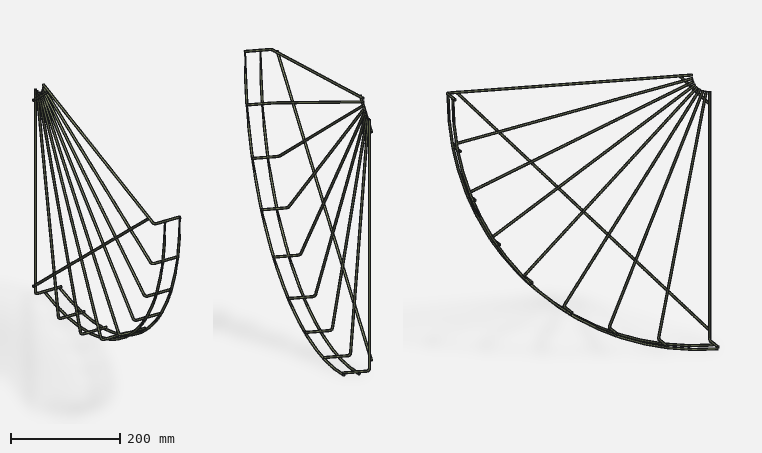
import cadquery as cq
import math

overall_size = 510.5
overall_depth = 58.0
wire_diameter = 4.0
wire_radius = wire_diameter / 2
weld_overlap = 0.25

spoke_count = 9
fan_angle = 90.0
hub_x = wire_radius
hub_z = overall_size - wire_radius
spoke_start_radius = 33.5
bend_radius = 5.0

brace_y = wire_radius
spoke_y = brace_y + wire_diameter - weld_overlap
rim_spacing = 30.0
back_rim_y = overall_depth - wire_radius
middle_rim_y = back_rim_y - rim_spacing

rim_radius = overall_size - wire_diameter
upright_radius = rim_radius - wire_diameter + weld_overlap

brace_reaches = (57.0, 483.5)


def spoke(angle):
    """Wire running out from the hub and bent backwards at the rim."""
    bend_start = upright_radius - bend_radius
    bend_end_y = spoke_y + bend_radius
    bend_middle = (
        bend_start + bend_radius * math.sin(math.radians(45)),
        bend_end_y - bend_radius * math.cos(math.radians(45)),
    )
    path = (
        cq.Workplane("XY")
        .moveTo(spoke_start_radius, spoke_y)
        .lineTo(bend_start, spoke_y)
        .threePointArc(bend_middle, (upright_radius, bend_end_y))
        .lineTo(upright_radius, overall_depth)
    )
    wire = (
        cq.Workplane("YZ", origin=(spoke_start_radius, spoke_y, 0))
        .circle(wire_radius)
        .sweep(path)
    )
    return wire.rotate((0, 0, 0), (0, 1, 0), angle).translate((hub_x, 0, hub_z))


def rim(y):
    """Quarter ring joining the outer sides of the uprights."""
    return (
        cq.Workplane("XY")
        .center(rim_radius, y)
        .circle(wire_radius)
        .revolve(fan_angle, (-rim_radius, 0), (-rim_radius, 1))
        .translate((hub_x, 0, hub_z))
    )


def brace(reach):
    """Straight diagonal wire across the front of all the spokes."""
    start = cq.Vector(hub_x, brace_y, hub_z - reach)
    direction = cq.Vector(1, 0, 1)
    length = reach * math.sqrt(2)
    return cq.Workplane(cq.Solid.makeCylinder(wire_radius, length, start, direction))


result = rim(back_rim_y).union(rim(middle_rim_y))
for index in range(spoke_count):
    result = result.union(spoke(index * fan_angle / (spoke_count - 1)))
for reach in brace_reaches:
    result = result.union(brace(reach))